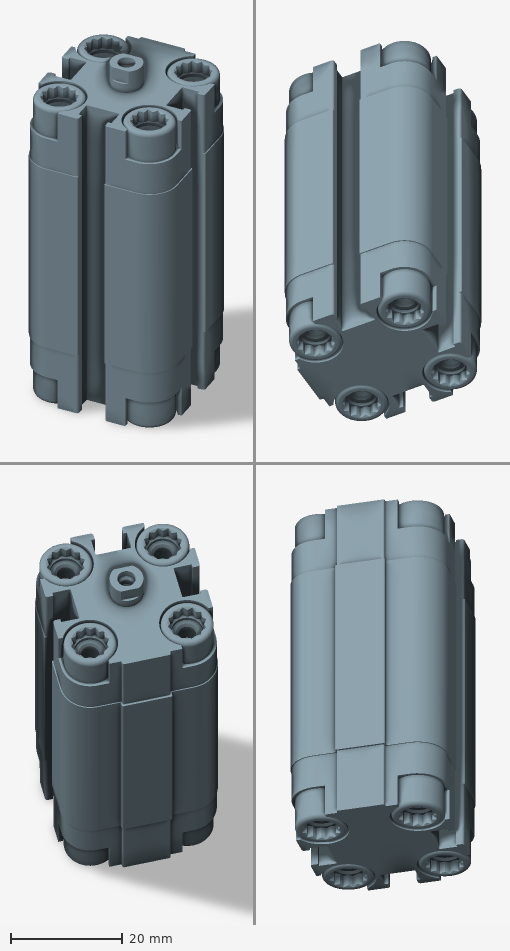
import cadquery as cq
import math

TOTAL_HEIGHT = 67.5
ROD_STICKOUT = 4.5
HOUSING_HEIGHT = TOTAL_HEIGHT - ROD_STICKOUT
CAP_HEIGHT = 12.4

BARREL_WIDTH = 29
BARREL_CORNER_RADIUS = 5.55
CAP_INSET = 0.2
TONGUE_HALF_WIDTH = 4.65
TONGUE_HEIGHT = 0.95
TONGUE_FILLET = 0.3
CAP_TONGUE_INSET = 0.4

SLOT_HALF_OPENING = 2.6
SLOT_HALF_WIDTH = 3.3
SLOT_FLOOR = 9.5
SLOT_LIP_INNER = 12.9
SLOT_FLOOR_FILLET = 0.2
BARREL_LIP_FILLET = 0.2
CAP_LIP_FILLET = 0.5

BOSS_OFFSET = 9.0
BOSS_DIAMETER = 9.5
BOSS_HEIGHT = 6.0
BOSS_FILLET = 0.75
POCKET_DIAMETER = 10.05
POCKET_WALL = 2.2

SOCKET_POINTS = 12
SOCKET_OUTER_DIAMETER = 7.0
SOCKET_INNER_DIAMETER = 6.1
SOCKET_DEPTH = 2.35
LEAD_IN_DEPTH = 0.3
SEAT_DIAMETER = 5.7
SEAT_DEPTH = 3.05
CONE_DIAMETER = 4.1
SCREW_HOLE_DIAMETER = 3.25

ROD_DIAMETER = 6.1
ROD_ACROSS_FLATS = 5.05
ROD_FLAT_LENGTH = 2.6
ROD_BORE_DIAMETER = 3.3
ROD_BORE_DEPTH = 1.55
ROD_THREAD_DIAMETER = 2.4
ROD_THREAD_DEPTH = 3.4
DRILL_TIP_ANGLE = 118


def slot_cutter(height, lip_fillet, outer_face):
    """T-slot opening toward -Y, with rounded lips where it meets the outer face."""
    undercut = (
        cq.Workplane("XY")
        .center(0, -(SLOT_FLOOR + SLOT_LIP_INNER) / 2)
        .rect(2 * SLOT_HALF_WIDTH, SLOT_LIP_INNER - SLOT_FLOOR)
        .extrude(height)
        .edges("|Z and >Y")
        .fillet(SLOT_FLOOR_FILLET)
    )
    flare = SLOT_HALF_OPENING + lip_fillet
    lip_start = -(outer_face - lip_fillet)
    diagonal = lip_fillet * (1 - math.sqrt(0.5))
    mouth = (
        cq.Workplane("XY")
        .moveTo(-SLOT_HALF_OPENING, -SLOT_LIP_INNER)
        .lineTo(-SLOT_HALF_OPENING, lip_start)
        .threePointArc((-SLOT_HALF_OPENING - diagonal, -outer_face + diagonal), (-flare, -outer_face))
        .lineTo(flare, -outer_face)
        .threePointArc((SLOT_HALF_OPENING + diagonal, -outer_face + diagonal), (SLOT_HALF_OPENING, lip_start))
        .lineTo(SLOT_HALF_OPENING, -SLOT_LIP_INNER)
        .close()
        .extrude(height)
    )
    return undercut.union(mouth)


def slotted_block(height, inset, tongue_inset, lip_fillet):
    """Rounded square with a tongue on +Y and a T-slot on each other side."""
    width = BARREL_WIDTH - 2 * inset
    tongue_top = BARREL_WIDTH / 2 + TONGUE_HEIGHT - tongue_inset
    block = (
        cq.Workplane("XY")
        .rect(width, width)
        .extrude(height)
        .edges("|Z")
        .fillet(BARREL_CORNER_RADIUS - inset)
    )
    tongue = (
        cq.Workplane("XY")
        .center(0, tongue_top / 2)
        .rect(2 * (TONGUE_HALF_WIDTH - inset), tongue_top)
        .extrude(height)
    )
    block = block.union(tongue)
    tongue_reach = TONGUE_HALF_WIDTH + TONGUE_FILLET
    tongue_corners = cq.selectors.BoxSelector(
        (-tongue_reach, width / 2 - TONGUE_FILLET, 0),
        (tongue_reach, tongue_top + TONGUE_FILLET, height),
    )
    block = block.edges("|Z").edges(tongue_corners).fillet(TONGUE_FILLET)
    slot = slot_cutter(height, lip_fillet, width / 2)
    for angle in (-90, 0, 90):
        block = block.cut(slot.rotate((0, 0, 0), (0, 0, 1), angle))
    return block


def corner_pocket():
    """Clearance around the boss of the (+X, +Y) corner, hanging down from Z = 0."""
    pocket = cq.Workplane("XY").circle(POCKET_DIAMETER / 2).extrude(-BOSS_HEIGHT)
    corner = (
        cq.Workplane("XY")
        .rect(BOSS_DIAMETER, BOSS_DIAMETER)
        .extrude(-BOSS_HEIGHT)
        .translate((BOSS_DIAMETER / 2 - POCKET_WALL, BOSS_DIAMETER / 2 - POCKET_WALL, 0))
    )
    return pocket.union(corner).translate((BOSS_OFFSET, BOSS_OFFSET, 0))


def boss():
    """Boss of the (+X, +Y) corner with a rounded rim, its top at Z = 0."""
    return (
        cq.Workplane("XY")
        .circle(BOSS_DIAMETER / 2)
        .extrude(-BOSS_HEIGHT)
        .edges(">Z")
        .fillet(BOSS_FILLET)
        .translate((BOSS_OFFSET, BOSS_OFFSET, 0))
    )


def socket_cutter():
    """Twelve-point socket with a lead-in, a round seat and a cone, for the (+X, +Y) boss."""
    step = math.pi / SOCKET_POINTS
    star = []
    for i in range(2 * SOCKET_POINTS):
        radius = (SOCKET_INNER_DIAMETER if i % 2 else SOCKET_OUTER_DIAMETER) / 2
        star.append((radius * math.cos(i * step), radius * math.sin(i * step)))
    points = cq.Workplane("XY").polyline(star).close().extrude(-SOCKET_DEPTH)
    cone_bottom = SEAT_DEPTH + (CONE_DIAMETER - SCREW_HOLE_DIAMETER) / 2
    seat = (
        cq.Workplane("XZ")
        .polyline([
            (0, 0),
            (SOCKET_OUTER_DIAMETER / 2, 0),
            (SOCKET_INNER_DIAMETER / 2, -LEAD_IN_DEPTH),
            (SEAT_DIAMETER / 2, -LEAD_IN_DEPTH),
            (SEAT_DIAMETER / 2, -SEAT_DEPTH),
            (CONE_DIAMETER / 2, -SEAT_DEPTH),
            (SCREW_HOLE_DIAMETER / 2, -cone_bottom),
            (0, -cone_bottom),
        ])
        .close()
        .revolve(360, (0, 0), (0, 1))
    )
    return points.union(seat).translate((BOSS_OFFSET, BOSS_OFFSET, 0))


def at_corners(shape):
    """The shape of the (+X, +Y) corner repeated at all four corners."""
    return [shape.rotate((0, 0, 0), (0, 0, 1), 90 * i) for i in range(4)]


def end_cap():
    """End cap with its outer face at Z = 0 and its body below."""
    cap = slotted_block(CAP_HEIGHT, CAP_INSET, CAP_TONGUE_INSET, CAP_LIP_FILLET)
    cap = cap.translate((0, 0, -CAP_HEIGHT))
    for pocket in at_corners(corner_pocket()):
        cap = cap.cut(pocket)
    for post in at_corners(boss()):
        cap = cap.union(post)
    for socket in at_corners(socket_cutter()):
        cap = cap.cut(socket)
    return cap


def make_housing():
    """Barrel with an end cap at each end and four holes right through."""
    barrel_height = HOUSING_HEIGHT - 2 * CAP_HEIGHT
    barrel = slotted_block(barrel_height, 0, 0, BARREL_LIP_FILLET).translate((0, 0, CAP_HEIGHT))
    cap = end_cap()
    housing = barrel.union(cap.translate((0, 0, HOUSING_HEIGHT))).union(cap.mirror("XY"))
    screw_hole = (
        cq.Workplane("XY")
        .center(BOSS_OFFSET, BOSS_OFFSET)
        .circle(SCREW_HOLE_DIAMETER / 2)
        .extrude(HOUSING_HEIGHT)
    )
    for hole in at_corners(screw_hole):
        housing = housing.cut(hole)
    return housing


def make_rod():
    """Rod end standing on the housing, with two wrench flats and a stepped blind bore."""
    rod = cq.Workplane("XY").circle(ROD_DIAMETER / 2).extrude(ROD_STICKOUT)
    flats = (
        cq.Workplane("XY")
        .workplane(offset=ROD_STICKOUT - ROD_FLAT_LENGTH)
        .rect(2 * ROD_DIAMETER, 2 * ROD_DIAMETER)
        .rect(2 * ROD_DIAMETER, ROD_ACROSS_FLATS)
        .extrude(ROD_FLAT_LENGTH)
    )
    bore_radius = ROD_BORE_DIAMETER / 2
    thread_radius = ROD_THREAD_DIAMETER / 2
    shoulder = ROD_STICKOUT - ROD_BORE_DEPTH
    thread_end = ROD_STICKOUT - ROD_THREAD_DEPTH
    tip = thread_end - thread_radius / math.tan(math.radians(DRILL_TIP_ANGLE / 2))
    bore = (
        cq.Workplane("XZ")
        .polyline([
            (0, ROD_STICKOUT),
            (bore_radius, ROD_STICKOUT),
            (bore_radius, shoulder),
            (thread_radius, shoulder - (bore_radius - thread_radius)),
            (thread_radius, thread_end),
            (0, tip),
        ])
        .close()
        .revolve(360, (0, 0), (0, 1))
    )
    return rod.cut(flats).cut(bore).translate((0, 0, HOUSING_HEIGHT))


housing = make_housing()
rod = make_rod()
result = cq.Compound.makeCompound([housing.val(), rod.val()])